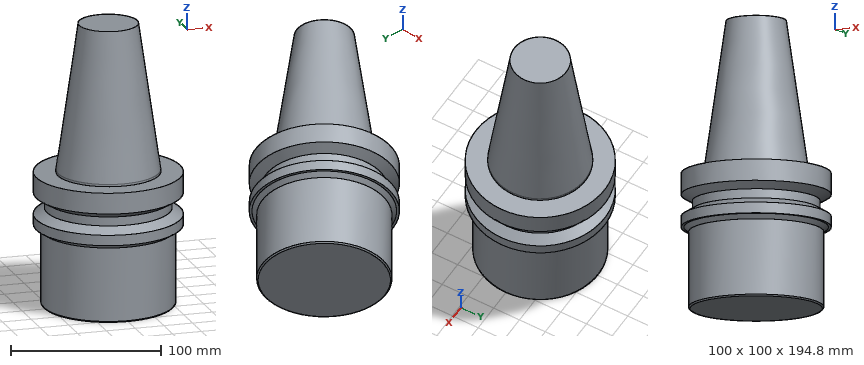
import cadquery as cq

total_height = 194.8

body_diameter = 90.0
flange_diameter = 100.0
groove_diameter = 85.1
taper_large_diameter = 70.0
taper_small_diameter = 40.3

body_chamfer = 1.0
shoulder_base = 52.0
lower_rim_bottom = 55.1
lower_rim_top = 62.3
groove_bottom = 66.6
groove_top = 72.9
upper_rim_bottom = 77.1
flange_top = 91.5
neck_height = 1.5

body_radius = body_diameter / 2
flange_radius = flange_diameter / 2
groove_radius = groove_diameter / 2
taper_large_radius = taper_large_diameter / 2
taper_small_radius = taper_small_diameter / 2
shoulder_radius = body_radius + (lower_rim_bottom - shoulder_base)

half_section = [
    (0, 0),
    (body_radius - body_chamfer, 0),
    (body_radius, body_chamfer),
    (body_radius, shoulder_base),
    (shoulder_radius, lower_rim_bottom),
    (flange_radius, lower_rim_bottom),
    (flange_radius, lower_rim_top),
    (groove_radius, groove_bottom),
    (groove_radius, groove_top),
    (flange_radius, upper_rim_bottom),
    (flange_radius, flange_top),
    (taper_large_radius, flange_top),
    (taper_large_radius, flange_top + neck_height),
    (taper_small_radius, total_height),
    (0, total_height),
]

result = (
    cq.Workplane("XZ")
    .polyline(half_section)
    .close()
    .revolve(360, (0, 0, 0), (0, 1, 0))
)